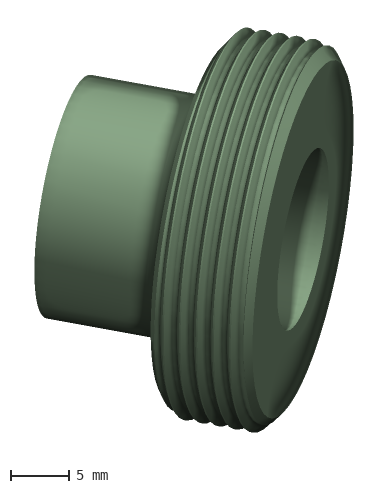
import cadquery as cq
import math

length = 21.0
crest_radius = 17.15

tube_radius = 10.67
tube_length = 10.12
bore_mouth_radius = 9.0
bore_radius = 8.0
bore_mouth_depth = 1.3

fillet_end_x = 11.05
fillet_end_radius = 11.45
flange_rim_x = 11.87
rim_radius = 15.7
chamfer_slope = 1.3

thread_turns = 6
thread_lead_length = 9.0
pitch = thread_lead_length / thread_turns
root_radius = 16.37
crest_flat = 0.15
crest_x = 13.05
root_overlap = 0.1
overrun_turns = 2
bar_overrun = 3 * pitch
envelope_clearance = 0.07
thread_angle = 60
flank_tan = math.tan(math.radians(thread_angle / 2))


def revolve_about_x(sketch):
    return sketch.close().revolve(360, (0, 0, 0), (1, 0, 0))


def make_blank():
    """Solid tube and flange whose chamfered rims rise just past the crests."""
    outer_radius = crest_radius + envelope_clearance
    chamfer_length = (outer_radius - rim_radius) / chamfer_slope
    fillet_run = fillet_end_x - tube_length
    fillet_rise = fillet_end_radius - tube_radius
    fillet_radius = (fillet_run**2 + fillet_rise**2) / (2 * fillet_rise)
    half_sweep = math.asin(fillet_run / fillet_radius) / 2
    fillet_middle = (
        tube_length + fillet_radius * math.sin(half_sweep),
        tube_radius + fillet_radius * (1 - math.cos(half_sweep)),
    )
    return revolve_about_x(
        cq.Workplane("XY")
        .lineTo(0, tube_radius)
        .lineTo(tube_length, tube_radius)
        .threePointArc(fillet_middle, (fillet_end_x, fillet_end_radius))
        .lineTo(flange_rim_x, rim_radius)
        .lineTo(flange_rim_x + chamfer_length, outer_radius)
        .lineTo(length - chamfer_length, outer_radius)
        .lineTo(length, rim_radius)
        .lineTo(length, 0)
    )


def make_thread_ridge():
    """Helical ridge that runs past both rims of the flange."""
    base_radius = root_radius - root_overlap
    crest_half = crest_flat / 2
    base_half = crest_half + (crest_radius - base_radius) * flank_tan
    start_x = crest_x - overrun_turns * pitch
    turns = math.ceil((length - start_x) / pitch) + 1
    helix = cq.Wire.makeHelix(pitch, turns * pitch, base_radius)
    ridge = (
        cq.Workplane("XZ")
        .moveTo(base_radius, -base_half)
        .lineTo(crest_radius, -crest_half)
        .lineTo(crest_radius, crest_half)
        .lineTo(base_radius, base_half)
        .close()
        .sweep(cq.Workplane(helix), isFrenet=True)
    )
    return (
        ridge.rotate((0, 0, 0), (0, 0, 1), 180)
        .rotate((0, 0, 0), (0, 1, 0), 90)
        .translate((start_x, 0, 0))
    )


def make_bore():
    """Through hole with a short straight mouth, then narrowing steadily to the flange face."""
    return revolve_about_x(
        cq.Workplane("XY")
        .lineTo(0, bore_mouth_radius)
        .lineTo(bore_mouth_depth, bore_mouth_radius)
        .lineTo(length, bore_radius)
        .lineTo(length, 0)
    )


bar = cq.Workplane("YZ").circle(root_radius).extrude(length + bar_overrun)
threaded_bar = bar.union(make_thread_ridge())
envelope = make_blank()
result = threaded_bar.intersect(envelope).cut(make_bore())